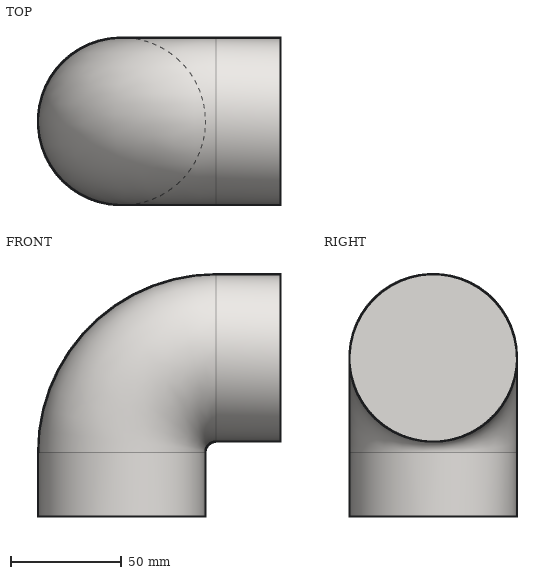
import cadquery as cq

overall_length = 110.0
outer_diameter = 76.0
spigot_length = 29.2

outer_radius = outer_diameter / 2
bend_radius = overall_length - spigot_length - outer_radius

bend_start = (0, spigot_length)
bend_end = (bend_radius, spigot_length + bend_radius)

lower_spigot = cq.Workplane("XY").circle(outer_radius).extrude(spigot_length)

bend = (
    cq.Workplane("XY", origin=(bend_start[0], 0, bend_start[1]))
    .circle(outer_radius)
    .revolve(90, (bend_radius, 0, 0), (bend_radius, 1, 0))
)

side_spigot = (
    cq.Workplane("YZ", origin=(bend_end[0], 0, bend_end[1]))
    .circle(outer_radius)
    .extrude(spigot_length)
)

result = lower_spigot.union(bend).union(side_spigot)